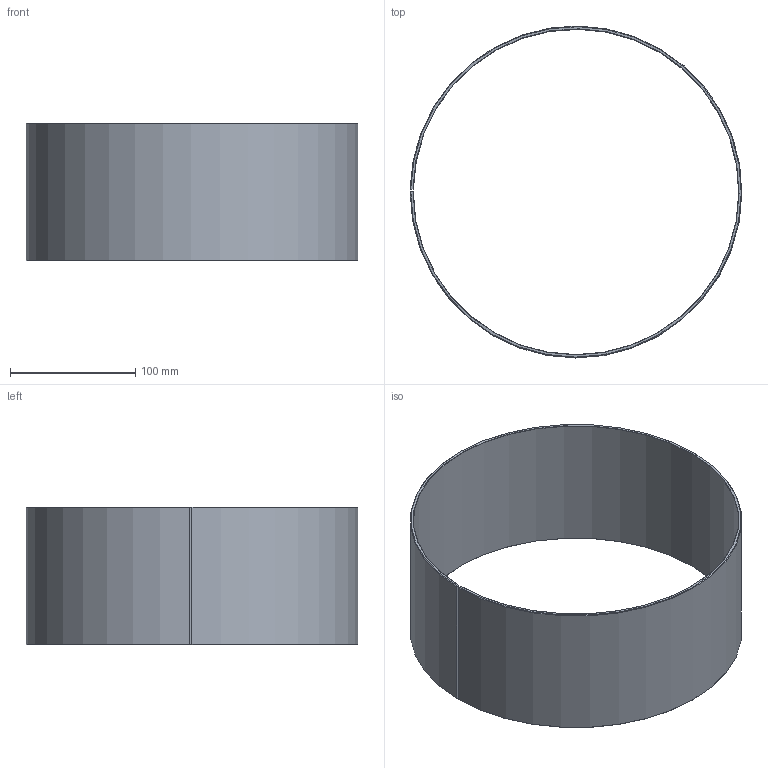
import cadquery as cq

outer_diameter = 265.0
wall_thickness = 2.5
height = 110.0
outer_chamfer = 0.5
inner_chamfer = 0.2
slit_angle = 1.0

outer_radius = outer_diameter / 2
inner_radius = outer_radius - wall_thickness


def wall_section():
    """Wall cross-section in the XZ plane, on the -X side of the axis."""
    return (
        cq.Workplane("XZ")
        .moveTo(-outer_radius, outer_chamfer)
        .lineTo(-outer_radius, height - outer_chamfer)
        .lineTo(-outer_radius + outer_chamfer, height)
        .lineTo(-inner_radius - inner_chamfer, height)
        .lineTo(-inner_radius, height - inner_chamfer)
        .lineTo(-inner_radius, inner_chamfer)
        .lineTo(-inner_radius - inner_chamfer, 0)
        .lineTo(-outer_radius + outer_chamfer, 0)
        .close()
    )


def split_ring():
    """Section swept counterclockwise about Z, stopping short to leave the slit."""
    axis_start = (0, 0)
    axis_end = (0, 1)
    return wall_section().revolve(360 - slit_angle, axis_start, axis_end)


result = split_ring()